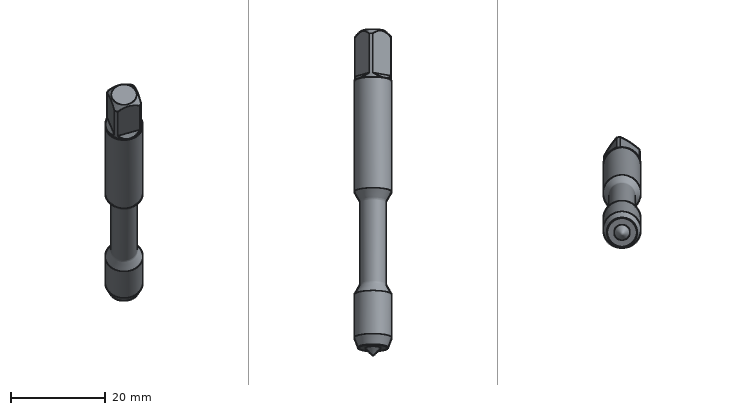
import cadquery as cq
import math

total_height = 70.65
body_radius = 8.05 / 2
neck_radius = 5.65 / 2
drive_radius = 7.8 / 2

point_height = 1.7
end_radius = 3.1
rim_radius = 3.25
rim_z = 1.85
lead_end_z = 3.95
head_top_z = 13.35

cone_half_angle = math.radians(30)
cone_height = (body_radius - neck_radius) / math.tan(cone_half_angle)
shank_bottom_z = 35.75
neck_fillet = 0.85

square_width = 6.0
flat_bottom_z = 60.9
top_radius = 2.7
ramp_drop = drive_radius - square_width / 2
drive_base_z = flat_bottom_z - ramp_drop
shoulder_chamfer = body_radius - drive_radius
top_chamfer = drive_radius - top_radius


def make_head():
    """Threaded head: 45 degree point, small edge break, lead-in taper and cylinder."""
    return (
        cq.Workplane("XZ")
        .moveTo(0, 0)
        .lineTo(point_height, point_height)
        .lineTo(end_radius, point_height)
        .lineTo(rim_radius, rim_z)
        .lineTo(body_radius, lead_end_z)
        .lineTo(body_radius, head_top_z)
        .lineTo(0, head_top_z)
        .close()
        .revolve(360, (0, 0, 0), (0, 1, 0))
    )


def make_shank_blank():
    """Turned shank: lower cone, neck, upper cone, cylinder and chamfered drive end."""
    neck_bottom_z = head_top_z + cone_height
    neck_top_z = shank_bottom_z - cone_height
    blank = (
        cq.Workplane("XZ")
        .moveTo(0, head_top_z)
        .lineTo(body_radius, head_top_z)
        .lineTo(neck_radius, neck_bottom_z)
        .lineTo(neck_radius, neck_top_z)
        .lineTo(body_radius, shank_bottom_z)
        .lineTo(body_radius, drive_base_z - shoulder_chamfer)
        .lineTo(drive_radius, drive_base_z)
        .lineTo(drive_radius, total_height - top_chamfer)
        .lineTo(top_radius, total_height)
        .lineTo(0, total_height)
        .close()
        .revolve(360, (0, 0, 0), (0, 1, 0))
    )
    neck_ends = cq.selectors.BoxSelector(
        (-body_radius, -body_radius, neck_bottom_z - neck_fillet),
        (body_radius, body_radius, neck_top_z + neck_fillet),
    )
    return blank.edges("%CIRCLE").edges(neck_ends).fillet(neck_fillet)


def make_flat_cutter():
    """Cutter for one drive flat on the +X side, ending in a 45 degree ramp."""
    flat_x = square_width / 2
    reach = 2 * ramp_drop
    return (
        cq.Workplane("XZ")
        .moveTo(flat_x, flat_bottom_z)
        .lineTo(flat_x + reach, flat_bottom_z - reach)
        .lineTo(flat_x + reach, total_height)
        .lineTo(flat_x, total_height)
        .close()
        .extrude(body_radius, both=True)
    )


def make_shank():
    """Shank with four flats forming the square drive."""
    shank = make_shank_blank()
    cutter = make_flat_cutter()
    for quarter in range(4):
        shank = shank.cut(cutter.rotate((0, 0, 0), (0, 0, 1), 90 * quarter))
    return shank


head = make_head()
shank = make_shank()

result = cq.Compound.makeCompound([head.val(), shank.val()])